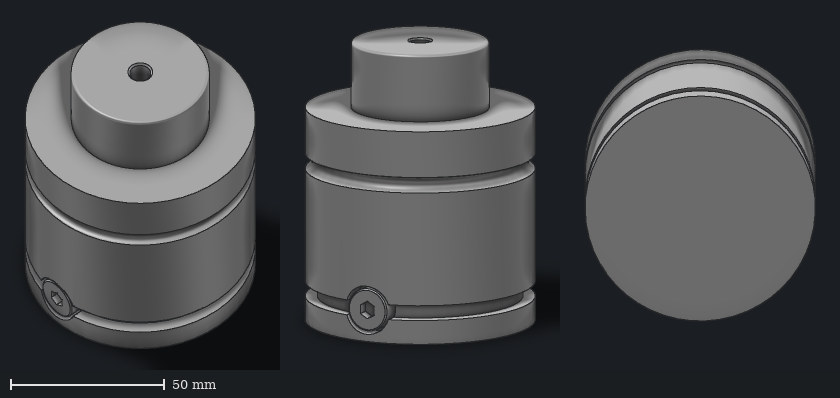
import cadquery as cq
import math

height = 93.0
body_diameter = 75.0
body_radius = body_diameter / 2
body_height = 70.9
rod_diameter = 45.0
rod_fillet = 1.0

round_groove_z = 53.0
round_groove_radius = 2.56
square_groove_bottom = 8.0
square_groove_top = 12.9
square_groove_floor_radius = 33.5

tap_diameter = 6.8
tap_mouth_diameter = 8.0
tap_depth = 14.9
drill_point_angle = 118.0

plug_z = (square_groove_bottom + square_groove_top) / 2
recess_diameter = 16.0
recess_floor_y = -30.7
plug_diameter = 14.0
plug_face_y = -37.0
plug_chamfer = 0.5
hex_across_flats = 5.0
hex_depth = 3.7


def make_body():
    body = cq.Workplane("XY").circle(body_radius).extrude(body_height)
    rod = (
        cq.Workplane("XY")
        .circle(rod_diameter / 2)
        .extrude(height)
        .faces(">Z")
        .fillet(rod_fillet)
    )
    return body.union(rod)


def make_round_groove():
    ring = cq.Solid.makeTorus(
        body_radius, round_groove_radius, cq.Vector(0, 0, round_groove_z), cq.Vector(0, 0, 1)
    )
    return cq.Workplane(obj=ring)


def make_square_groove():
    return (
        cq.Workplane("XY", origin=(0, 0, square_groove_bottom))
        .circle(body_diameter)
        .circle(square_groove_floor_radius)
        .extrude(square_groove_top - square_groove_bottom)
    )


def make_tapped_hole():
    """Drilled hole with a conical end and a 45 degree mouth chamfer."""
    radius = tap_diameter / 2
    mouth_radius = tap_mouth_diameter / 2
    cone_height = radius / math.tan(math.radians(drill_point_angle / 2))
    return (
        cq.Workplane("XZ")
        .moveTo(0, height)
        .lineTo(mouth_radius, height)
        .lineTo(radius, height - (mouth_radius - radius))
        .lineTo(radius, height - tap_depth)
        .lineTo(0, height - tap_depth - cone_height)
        .close()
        .revolve(360, (0, 0, 0), (0, 1, 0))
    )


def side_plane(y):
    """Plane facing -Y, centred on the plug axis."""
    return cq.Workplane("XZ", origin=(0, y, plug_z))


def make_recess():
    return side_plane(recess_floor_y).circle(recess_diameter / 2).extrude(body_radius)


def make_plug():
    plug = (
        side_plane(recess_floor_y)
        .circle(plug_diameter / 2)
        .extrude(recess_floor_y - plug_face_y)
        .faces("<Y")
        .chamfer(plug_chamfer)
    )
    across_corners = hex_across_flats / math.cos(math.pi / 6)
    socket = (
        side_plane(plug_face_y)
        .transformed(rotate=(0, 0, 90))
        .polygon(6, across_corners)
        .extrude(-hex_depth)
    )
    return plug.cut(socket)


result = (
    make_body()
    .cut(make_round_groove())
    .cut(make_square_groove())
    .cut(make_tapped_hole())
    .cut(make_recess())
    .union(make_plug())
)